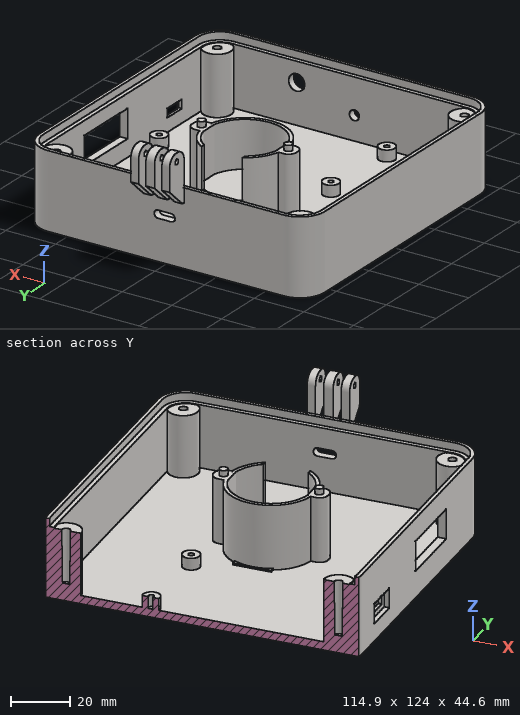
import cadquery as cq

BOX_WIDTH = 114.91
BOX_DEPTH = 115.2
BOX_HEIGHT = 30.0
CORNER_RADIUS = 10.0
WALL = 3.2
FLOOR = 3.3
LIP_WALL = 1.5
LIP_DEPTH = 3.0

LEDGE_Z = BOX_HEIGHT - LIP_DEPTH
POST_DROP = 0.3
POST_TOP_Z = LEDGE_Z - POST_DROP
POST_DIAMETER = 11.0
POST_HOLE_TOP_DIAMETER = 2.99
POST_HOLE_BOTTOM_DIAMETER = 2.44
POST_HOLE_DEPTH = 20.0
POST_CENTRES = [(-49.4, 50.2), (48.9, 50.4), (-49.8, -49.5), (49.8, -49.5)]

STANDOFF_DIAMETER = 6.33
STANDOFF_HOLE_DIAMETER = 1.99
STANDOFF_HEIGHT = 4.4
STANDOFF_CENTRES = [(-18.9, -14.7), (50.3, -14.7), (-18.9, -48.9)]

TUBE_X = 0.75
TUBE_Y = 8.05
TUBE_OUTER_RADIUS = 16.3
TUBE_INNER_RADIUS = 14.9
TUBE_TOP_Z = 27.6
TUBE_SEAT_Z = 9.2
GAP_WIDTH = 16.5
GAP_SILL_Z = 11.2
LUG_WIDTH = 7.3
LUG_INNER_REACH = 14.5
LUG_OUTER_REACH = 21.0
LUG_CORNER_RADIUS = 3.1
PIN_SPACING = 35.0
PIN_DIAMETER = 3.02
PIN_HEIGHT = 2.2
PAD_X = 0.6
PAD_WIDTH = 14.1
PAD_HEIGHT = 0.6
PAD_REACH = 16.45

SMALL_HOLE_DIAMETER = 3.88
SMALL_HOLE_X = -2.14
SMALL_HOLE_Z = 12.8
LARGE_HOLE_DIAMETER = 6.35
LARGE_HOLE_X = 21.1
LARGE_HOLE_Z = 19.1
BACK_SLOT_LENGTH = 8.3
BACK_SLOT_HEIGHT = 3.02
BACK_SLOT_X = 0.5
BACK_SLOT_Z = 17.6
WINDOW_WIDTH = 26.4
WINDOW_HEIGHT = 11.2
WINDOW_Y = 11.8
WINDOW_Z = 15.8
SIDE_SLOT_LENGTH = 8.9
SIDE_SLOT_HEIGHT = 3.4
SIDE_SLOT_Y = -30.2
SIDE_SLOT_Z = 10.4
SIDE_SLOT_WALL = 1.3
RECESS_MARGIN = 2.0

TAB_TOP_Z = 44.57
OVERALL_DEPTH = 124.02
TAB_REACH = OVERALL_DEPTH - BOX_DEPTH
TAB_RADIUS = 4.0
TAB_SLOPE_TOP_Z = 31.6
TAB_FOOT_Z = 24.4
TAB_FOOT_REACH = 1.0
TAB_HOLE_DIAMETER = 1.99
TAB_HOLE_Z = 41.2
TAB_THICKNESS = 3.1
MIDDLE_TAB_THICKNESS = 3.5
TAB_CENTRE_X = 0.46
TAB_PITCH = 6.25

SIDE_X = BOX_WIDTH / 2
BACK_Y = BOX_DEPTH / 2


def rounded_block(inset, bottom_z, top_z):
    """Upright block with the box outline moved inward by inset."""
    width = BOX_WIDTH - 2 * inset
    depth = BOX_DEPTH - 2 * inset
    block = cq.Workplane("XY").workplane(offset=bottom_z).rect(width, depth).extrude(top_z - bottom_z)
    return block.edges("|Z").fillet(CORNER_RADIUS - inset)


def cylinders(centres, diameter, bottom_z, top_z):
    """Upright cylinders at the given centres."""
    plane = cq.Workplane("XY").workplane(offset=bottom_z)
    return plane.pushPoints(centres).circle(diameter / 2).extrude(top_z - bottom_z)


def make_box():
    """Box with a floor and a rim recessed on the inside to take a lid."""
    box = rounded_block(0, 0, BOX_HEIGHT)
    box = box.cut(rounded_block(WALL, FLOOR, BOX_HEIGHT))
    return box.cut(rounded_block(LIP_WALL, LEDGE_Z, BOX_HEIGHT))


def make_post_holes():
    """Blind screw holes that narrow slightly toward the bottom."""
    bottom_z = POST_TOP_Z - POST_HOLE_DEPTH
    hole = cq.Solid.makeCone(POST_HOLE_BOTTOM_DIAMETER / 2, POST_HOLE_TOP_DIAMETER / 2, POST_HOLE_DEPTH)
    plane = cq.Workplane("XY").workplane(offset=bottom_z)
    return plane.pushPoints(POST_CENTRES).eachpoint(lambda place: hole.moved(place), combine=False)


def add_posts(body):
    """Corner posts, kept inside the box outline, ending just below the ledge."""
    posts = cylinders(POST_CENTRES, POST_DIAMETER, 0, POST_TOP_Z)
    posts = posts.intersect(rounded_block(LIP_WALL, 0, POST_TOP_Z))
    return body.union(posts).cut(make_post_holes())


def add_standoffs(body):
    """Short standoffs with holes down to the floor."""
    top_z = FLOOR + STANDOFF_HEIGHT
    standoffs = cylinders(STANDOFF_CENTRES, STANDOFF_DIAMETER, 0, top_z)
    holes = cylinders(STANDOFF_CENTRES, STANDOFF_HOLE_DIAMETER, FLOOR, top_z)
    return body.union(standoffs).cut(holes)


def make_lug(side):
    """Upright lug beside the tube with rounded outer corners; side is -1 or 1."""
    length = LUG_OUTER_REACH - LUG_INNER_REACH
    lug = cq.Workplane("XY").box(length, LUG_WIDTH, TUBE_TOP_Z, centered=(True, True, False))
    lug = lug.edges("|Z and >X" if side > 0 else "|Z and <X").fillet(LUG_CORNER_RADIUS)
    middle_reach = (LUG_INNER_REACH + LUG_OUTER_REACH) / 2
    return lug.translate((TUBE_X + side * middle_reach, TUBE_Y, 0))


def make_tube():
    """Tube with a raised seat inside and an opening toward +Y above a low sill."""
    centre = [(TUBE_X, TUBE_Y)]
    tube = cylinders(centre, 2 * TUBE_OUTER_RADIUS, 0, TUBE_TOP_Z)
    bore = cylinders(centre, 2 * TUBE_INNER_RADIUS, TUBE_SEAT_Z, TUBE_TOP_Z)
    gap = cq.Workplane("XY", origin=(TUBE_X, TUBE_Y, GAP_SILL_Z)).box(
        GAP_WIDTH, TUBE_OUTER_RADIUS, TUBE_TOP_Z - GAP_SILL_Z, centered=(True, False, False)
    )
    return tube.cut(bore).cut(gap)


def add_sensor_holder(body):
    """Tube with two pinned lugs and a thin foot pad on its -Y side."""
    pad = cq.Workplane("XY", origin=(PAD_X, TUBE_Y - PAD_REACH, 0)).box(
        PAD_WIDTH, PAD_REACH, FLOOR + PAD_HEIGHT, centered=(True, False, False)
    )
    body = body.union(make_tube()).union(pad)
    for side in (-1, 1):
        pin_centre = [(TUBE_X + side * PIN_SPACING / 2, TUBE_Y)]
        pin = cylinders(pin_centre, PIN_DIAMETER, TUBE_TOP_Z, TUBE_TOP_Z + PIN_HEIGHT)
        body = body.union(make_lug(side)).union(pin)
    return body


def cut_round_holes(body):
    """Two round holes through the -Y wall."""
    holes = (
        (SMALL_HOLE_X, SMALL_HOLE_Z, SMALL_HOLE_DIAMETER),
        (LARGE_HOLE_X, LARGE_HOLE_Z, LARGE_HOLE_DIAMETER),
    )
    for x, z, diameter in holes:
        plane = cq.Workplane("XZ", origin=(x, WALL - BACK_Y, z))
        body = body.cut(plane.circle(diameter / 2).extrude(WALL))
    return body


def cut_back_slot(body):
    """Round-ended slot through the +Y wall."""
    plane = cq.Workplane("XZ", origin=(BACK_SLOT_X, BACK_Y, BACK_SLOT_Z))
    return body.cut(plane.slot2D(BACK_SLOT_LENGTH, BACK_SLOT_HEIGHT).extrude(WALL))


def cut_side_openings(body):
    """Window and slot through the +X wall; a recess outside thins the wall around the slot."""
    inner_x = SIDE_X - WALL
    window = cq.Workplane("YZ", origin=(inner_x, WINDOW_Y, WINDOW_Z))
    slot = cq.Workplane("YZ", origin=(inner_x, SIDE_SLOT_Y, SIDE_SLOT_Z))
    recess = cq.Workplane("YZ", origin=(inner_x + SIDE_SLOT_WALL, SIDE_SLOT_Y, SIDE_SLOT_Z))
    recess_length = SIDE_SLOT_LENGTH + 2 * RECESS_MARGIN
    recess_height = SIDE_SLOT_HEIGHT + 2 * RECESS_MARGIN
    body = body.cut(window.rect(WINDOW_WIDTH, WINDOW_HEIGHT).extrude(WALL))
    body = body.cut(slot.rect(SIDE_SLOT_LENGTH, SIDE_SLOT_HEIGHT).extrude(WALL))
    return body.cut(recess.rect(recess_length, recess_height).extrude(WALL - SIDE_SLOT_WALL))


def make_tab(centre_x, thickness):
    """Upright hinge tab with rounded top corners, a cross hole and a sloping underside."""
    outer_y = BACK_Y + TAB_REACH
    tab = (
        cq.Workplane("YZ", origin=(centre_x, 0, 0))
        .moveTo(BACK_Y, TAB_FOOT_Z)
        .lineTo(BACK_Y + TAB_FOOT_REACH, TAB_FOOT_Z)
        .lineTo(outer_y, TAB_SLOPE_TOP_Z)
        .lineTo(outer_y, TAB_TOP_Z)
        .lineTo(BACK_Y, TAB_TOP_Z)
        .close()
        .extrude(thickness / 2, both=True)
        .edges(">Z and |X")
        .fillet(TAB_RADIUS)
    )
    hole = (
        cq.Workplane("YZ", origin=(centre_x, BACK_Y + TAB_REACH / 2, TAB_HOLE_Z))
        .circle(TAB_HOLE_DIAMETER / 2)
        .extrude(thickness, both=True)
    )
    return tab.cut(hole)


def add_tabs(body):
    """Three parallel tabs, the middle one thicker."""
    for step, thickness in ((-1, TAB_THICKNESS), (0, MIDDLE_TAB_THICKNESS), (1, TAB_THICKNESS)):
        body = body.union(make_tab(TAB_CENTRE_X + step * TAB_PITCH, thickness))
    return body


result = make_box()
result = add_posts(result)
result = add_standoffs(result)
result = add_sensor_holder(result)
result = cut_round_holes(result)
result = cut_back_slot(result)
result = cut_side_openings(result)
result = add_tabs(result)